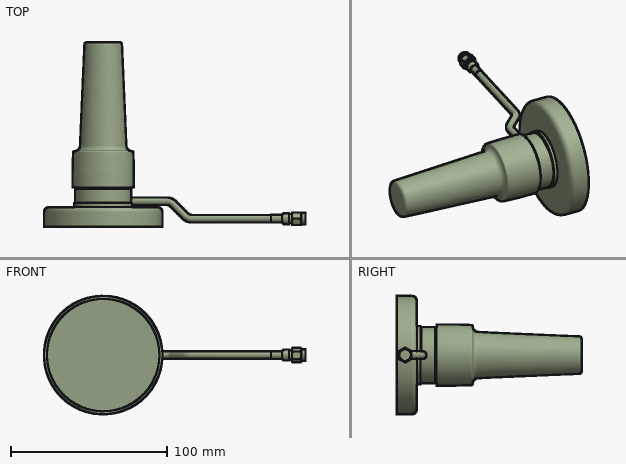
import cadquery as cq
import math

base_radius = 38.0
base_height = 12.85
base_fillet = 3.25
flange_radius = 18.7
flange_height = 2.45
flange_top = base_height + flange_height

cover_thickness = 0.25
base_wall = 2.0
plug_radius = base_radius - base_wall
plug_height = base_wall
plug_top = cover_thickness + plug_height

neck_radius = 18.1
neck_top = 24.4
neck_edge_fillet = 0.5

whip_height = 118.45
spigot_radius = 17.9
sleeve_radius = 19.7
sleeve_bottom = 25.5
sleeve_straight_top = 35.4
sleeve_top = 47.6
sleeve_top_radius = 19.35
shoulder_rim_fillet = 1.1
shoulder_height = sleeve_top + shoulder_rim_fillet
shoulder_rim_radius = sleeve_top_radius - shoulder_rim_fillet
mast_foot_radius = 14.95
mast_foot_fillet = shoulder_rim_radius - mast_foot_radius
mast_foot_height = shoulder_height + mast_foot_fillet
mast_tip_radius = 12.05
mast_tip_fillet = 2.0

cable_radius = 2.5
cable_entry = 12.0
cable_exit_height = 16.55
cable_run_height = 5.4
first_bend_start = 40.6
bend_radius = 6.0
bend_angle = 45.0
cable_end = 107.5

boot_radius = 2.6
boot_end = 114.5
crimp_radius = 3.6
crimp_chamfer = 1.1
crimp_edge_fillet = 0.9
crimp_end = 119.0
collar_radius = 3.1
collar_end = 120.7
nut_across_flats = 8.2
nut_end = 126.8
tip_radius = 3.8
tip_end = 129.53


def turned(profile):
    """Revolve a half profile about the Y axis; its radius lies along X and its height along Y."""
    return profile.close().revolve(360, (0, 0, 0), (0, 1, 0))


def cable_line_disc(start, end, radius):
    """A plain cylinder on the lower cable axis, from one X station to another."""
    plane = cq.Workplane("YZ", origin=(start, cable_run_height, 0))
    return plane.circle(radius).extrude(end - start)


def make_cable():
    """A round cable with two equal and opposite bends that step it down to the lower run."""
    angle = math.radians(bend_angle)
    bend_run = bend_radius * math.sin(angle)
    bend_drop = bend_radius * (1 - math.cos(angle))
    slope_drop = cable_exit_height - cable_run_height - 2 * bend_drop
    slope_run = slope_drop / math.tan(angle)

    slope_start = (first_bend_start + bend_run, cable_exit_height - bend_drop)
    slope_end = (slope_start[0] + slope_run, slope_start[1] - slope_drop)
    second_bend_end = (slope_end[0] + bend_run, cable_run_height)

    path = (
        cq.Workplane("XY")
        .moveTo(cable_entry, cable_exit_height)
        .lineTo(first_bend_start, cable_exit_height)
        .tangentArcPoint(slope_start, relative=False)
        .lineTo(*slope_end)
        .tangentArcPoint(second_bend_end, relative=False)
        .lineTo(cable_end, cable_run_height)
    )
    section = cq.Workplane("YZ", origin=(cable_entry, cable_exit_height, 0))
    return section.circle(cable_radius).sweep(path)


def make_cover():
    """A plate as wide as the base, carrying the plug."""
    return turned(
        cq.Workplane("XY")
        .lineTo(base_radius, 0)
        .lineTo(base_radius, cover_thickness)
        .lineTo(plug_radius, cover_thickness)
        .lineTo(plug_radius, plug_top)
        .lineTo(0, plug_top)
    )


def make_base():
    """A round foot with a rounded top edge and a low flange, hollowed for the plug and the cable."""
    foot = turned(
        cq.Workplane("XY")
        .moveTo(0, plug_top)
        .lineTo(plug_radius, plug_top)
        .lineTo(plug_radius, cover_thickness)
        .lineTo(base_radius, cover_thickness)
        .lineTo(base_radius, base_height - base_fillet)
        .radiusArc((base_radius - base_fillet, base_height), -base_fillet)
        .lineTo(flange_radius, base_height)
        .lineTo(flange_radius, flange_top)
        .lineTo(0, flange_top)
    )
    return foot.cut(cable)


def make_neck():
    """A short drum with rounded rims, hollowed for the cable."""
    drum = cq.Workplane("XZ", origin=(0, flange_top, 0)).circle(neck_radius).extrude(flange_top - neck_top)
    return drum.edges("%CIRCLE").fillet(neck_edge_fillet).cut(cable)


def make_whip():
    """The mast with its foot flared into a sleeve, standing on a spigot on the neck."""
    blank = turned(
        cq.Workplane("XY")
        .moveTo(0, neck_top)
        .lineTo(spigot_radius, neck_top)
        .lineTo(spigot_radius, sleeve_bottom)
        .lineTo(sleeve_radius, sleeve_bottom)
        .lineTo(sleeve_radius, sleeve_straight_top)
        .tangentArcPoint((sleeve_top_radius, sleeve_top), relative=False)
        .radiusArc((shoulder_rim_radius, shoulder_height), -shoulder_rim_fillet)
        .radiusArc((mast_foot_radius, mast_foot_height), mast_foot_fillet)
        .lineTo(mast_tip_radius, whip_height)
        .lineTo(0, whip_height)
    )
    return blank.faces(">Y").edges().fillet(mast_tip_fillet)


def make_crimp():
    """A ferrule that widens from the boot along a cone with a rounded outer edge."""
    blank = cable_line_disc(boot_end, crimp_end, crimp_radius)
    coned = blank.faces("<X").edges().chamfer(crimp_chamfer)
    return coned.faces("%CONE").edges(">X").fillet(crimp_edge_fillet)


def make_nut():
    """A hexagon with corners toward +Z and -Z, its corners turned down by a cone at both ends."""
    length = nut_end - collar_end
    plane = cq.Workplane("YZ", origin=(collar_end, cable_run_height, 0))
    corner_diameter = nut_across_flats / math.cos(math.radians(30))
    hexagon = plane.transformed(rotate=(0, 0, 90)).polygon(6, corner_diameter).extrude(length)
    corner_cut = (corner_diameter - nut_across_flats) / 2
    blank = plane.circle(corner_diameter / 2).extrude(length).edges("%CIRCLE").chamfer(corner_cut)
    return hexagon.intersect(blank)


cable = make_cable()
base = make_base()
cover = make_cover()
neck = make_neck()
whip = make_whip()
boot = cable_line_disc(cable_end, boot_end, boot_radius)
crimp = make_crimp()
collar = cable_line_disc(crimp_end, collar_end, collar_radius)
nut = make_nut()
tip = cable_line_disc(nut_end, tip_end, tip_radius)

bodies = [base, cover, neck, whip, cable, boot, crimp, collar, nut, tip]
result = cq.Compound.makeCompound([body.val() for body in bodies])